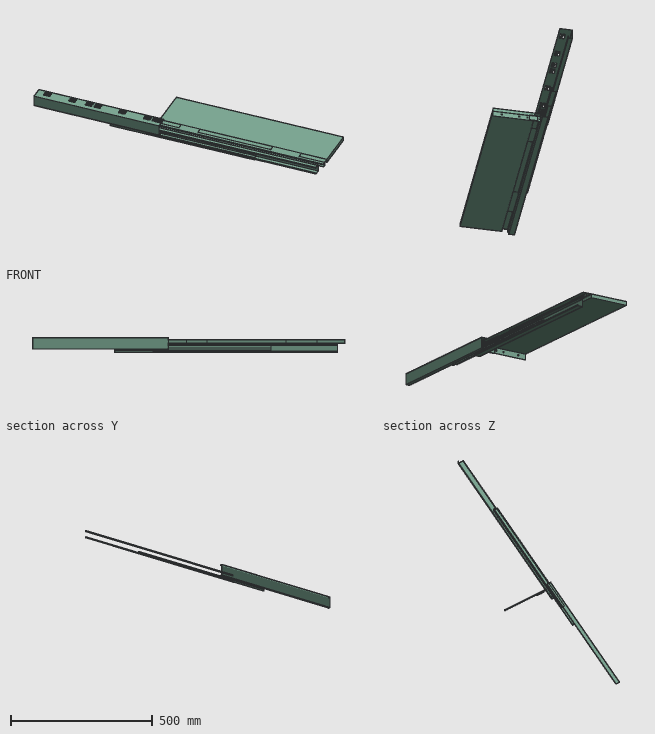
import cadquery as cq

LENGTH = 1105.0
WIDTH = 199.0
HEIGHT = 52.0
SHEET = 1.0

FIXED_LENGTH = 480.0
FIXED_FLANGE = 45.0
FIXED_BOTTOM = 11.0
HOOK_DEPTH = 15.0
HOOK_HEIGHT = 11.0
SLOT_LENGTH = 24.0
LAST_SLOT_LENGTH = 34.0
SLOT_STARTS = (28.0, 124.0, 188.0, 221.0, 315.0, 411.0)
LAST_SLOT_START = 443.0
SLIT_WIDTH = 4.0
SLIT_Y = 35.0
HOLE_DIAMETER = 8.0
HOLE_Y = 24.0
HOLE_GAP = 1.0

PANEL_START = 463.0
PANEL_BOTTOM = 31.0
PANEL_TOP = 45.0
PANEL_EDGE_Y = 49.0
SKIN_EDGE_Y = 14.0

PROFILE_WEB_Y = 28.0
PROFILE_FOOT_Y = 18.0
PROFILE_WINDOWS = ((545.0, 617.0), (897.0, 1006.0))

DRAWER_RAIL_START = 425.0
DRAWER_RAIL_END = 1079.0
DRAWER_RAIL_TOP = 29.0
DRAWER_RAIL_FRONT = 8.0
DRAWER_RAIL_LIP = 4.0

MIDDLE_START = 290.0
MIDDLE_END = 844.0
MIDDLE_TOP = 24.0
MIDDLE_WEB_Y = 21.0
MIDDLE_FRONT = 4.0
MIDDLE_LIP_TOP = 8.0
MIDDLE_TOP_FLANGE = 4.0

RUNNER_START = 373.0
RUNNER_INSET = 2.0
RUNNER_BACK = 19.0
RUNNER_TOP = 15.0

PLATE_BOTTOM = 9.0
PLATE_HOLES_Y = (75.0, 105.0, 168.0)
PLATE_HOLE_Z = 21.0
PLATE_HOLE_DIAMETER = 4.0
BRACKET_THICKNESS = 3.0
BRACKET_OUTER_Y = 68.0
BRACKET_INNER_Y = 40.0
BRACKET_TAB_BOTTOM = 19.0


def block(x, y, z):
    """Box given by its (low, high) limits along each axis."""
    size = [high - low for low, high in (x, y, z)]
    return cq.Workplane("XY").box(*size, centered=False).translate((x[0], y[0], z[0]))


def extrude_section(points, start, end):
    """Closed Y-Z outline extruded along X."""
    section = cq.Workplane("YZ").workplane(offset=start)
    return section.polyline(points).close().extrude(end - start)


def make_fixed_rail():
    flange_under = HEIGHT - SHEET
    hook_top = FIXED_BOTTOM + HOOK_HEIGHT
    hook_inside = HOOK_DEPTH - SHEET
    hook_floor = FIXED_BOTTOM + SHEET
    rail = extrude_section(
        [
            (0, FIXED_BOTTOM),
            (HOOK_DEPTH, FIXED_BOTTOM),
            (HOOK_DEPTH, hook_top),
            (hook_inside, hook_top),
            (hook_inside, hook_floor),
            (SHEET, hook_floor),
            (SHEET, flange_under),
            (FIXED_FLANGE, flange_under),
            (FIXED_FLANGE, HEIGHT),
            (0, HEIGHT),
        ],
        0,
        FIXED_LENGTH,
    )
    for start in SLOT_STARTS:
        rail = rail.cut(make_slot_group(start, SLOT_LENGTH, flange_under))
    return rail.cut(make_slot_group(LAST_SLOT_START, LAST_SLOT_LENGTH, flange_under))


def make_slot_group(start, length, bottom):
    """Cutter for a slit, with a round hole and an oblong hole beside it."""
    plane = cq.Workplane("XY").workplane(offset=bottom)
    slit_x = start + length / 2
    hole_x = start + HOLE_DIAMETER / 2
    oblong_length = length - HOLE_DIAMETER - HOLE_GAP
    oblong_x = start + length - oblong_length / 2
    slit = plane.center(slit_x, SLIT_Y).rect(length, SLIT_WIDTH).extrude(SHEET)
    hole = plane.center(hole_x, HOLE_Y).circle(HOLE_DIAMETER / 2).extrude(SHEET)
    oblong = plane.center(oblong_x, HOLE_Y).slot2D(oblong_length, HOLE_DIAMETER).extrude(SHEET)
    return slit.union(hole).union(oblong)


def make_panel():
    skin_under = PANEL_TOP - SHEET
    return extrude_section(
        [
            (WIDTH, PANEL_BOTTOM),
            (WIDTH, PANEL_TOP),
            (SKIN_EDGE_Y, PANEL_TOP),
            (SKIN_EDGE_Y, skin_under),
            (PANEL_EDGE_Y, skin_under),
            (PANEL_EDGE_Y, PANEL_BOTTOM),
        ],
        PANEL_START,
        LENGTH,
    )


def make_support_profile():
    """Z-shaped sheet whose lip and web are interrupted by windows."""
    top = PANEL_TOP - SHEET
    lip_under = top - SHEET
    foot_top = PANEL_BOTTOM + SHEET
    web_back = PROFILE_WEB_Y + SHEET
    profile = extrude_section(
        [
            (PROFILE_WEB_Y, top),
            (PANEL_EDGE_Y, top),
            (PANEL_EDGE_Y, lip_under),
            (web_back, lip_under),
            (web_back, PANEL_BOTTOM),
            (PROFILE_FOOT_Y, PANEL_BOTTOM),
            (PROFILE_FOOT_Y, foot_top),
            (PROFILE_WEB_Y, foot_top),
        ],
        PANEL_START,
        LENGTH,
    )
    for window in PROFILE_WINDOWS:
        profile = profile.cut(block(window, (PROFILE_WEB_Y, PANEL_EDGE_Y), (foot_top, top)))
    return profile


def make_drawer_rail():
    web_back = PROFILE_WEB_Y + SHEET
    lip_back = DRAWER_RAIL_FRONT + SHEET
    upper_lip_end = DRAWER_RAIL_TOP - DRAWER_RAIL_LIP
    flange_under = DRAWER_RAIL_TOP - SHEET
    return extrude_section(
        [
            (DRAWER_RAIL_FRONT, 0),
            (web_back, 0),
            (web_back, DRAWER_RAIL_TOP),
            (DRAWER_RAIL_FRONT, DRAWER_RAIL_TOP),
            (DRAWER_RAIL_FRONT, upper_lip_end),
            (lip_back, upper_lip_end),
            (lip_back, flange_under),
            (PROFILE_WEB_Y, flange_under),
            (PROFILE_WEB_Y, SHEET),
            (lip_back, SHEET),
            (lip_back, DRAWER_RAIL_LIP),
            (DRAWER_RAIL_FRONT, DRAWER_RAIL_LIP),
        ],
        DRAWER_RAIL_START,
        DRAWER_RAIL_END,
    )


def make_middle_rail():
    """Upright web with a short top flange, a floor and a turned-down front lip."""
    web_back = MIDDLE_WEB_Y + SHEET
    flange_front = MIDDLE_WEB_Y - MIDDLE_TOP_FLANGE
    lip_back = MIDDLE_FRONT + SHEET
    floor_under = MIDDLE_LIP_TOP - SHEET
    return extrude_section(
        [
            (MIDDLE_FRONT, 0),
            (lip_back, 0),
            (lip_back, floor_under),
            (web_back, floor_under),
            (web_back, MIDDLE_TOP),
            (flange_front, MIDDLE_TOP),
            (flange_front, MIDDLE_TOP - SHEET),
            (MIDDLE_WEB_Y, MIDDLE_TOP - SHEET),
            (MIDDLE_WEB_Y, MIDDLE_LIP_TOP),
            (MIDDLE_FRONT, MIDDLE_LIP_TOP),
        ],
        MIDDLE_START,
        MIDDLE_END,
    )


def make_runner():
    """Angle strip lying on the middle rail's floor, behind the fixed rail's hook."""
    front = MIDDLE_FRONT + RUNNER_INSET
    floor_top = MIDDLE_LIP_TOP + SHEET
    upright_front = RUNNER_BACK - SHEET
    return extrude_section(
        [
            (front, MIDDLE_LIP_TOP),
            (RUNNER_BACK, MIDDLE_LIP_TOP),
            (RUNNER_BACK, RUNNER_TOP),
            (upright_front, RUNNER_TOP),
            (upright_front, floor_top),
            (front, floor_top),
        ],
        RUNNER_START,
        MIDDLE_END,
    )


def make_end_plate():
    plate = block(
        (PANEL_START, PANEL_START + SHEET),
        (PROFILE_WEB_Y + SHEET, WIDTH),
        (PLATE_BOTTOM, PANEL_BOTTOM),
    )
    holes = (
        cq.Workplane("YZ")
        .workplane(offset=PANEL_START)
        .pushPoints([(y, PLATE_HOLE_Z) for y in PLATE_HOLES_Y])
        .circle(PLATE_HOLE_DIAMETER / 2)
        .extrude(SHEET)
    )
    return plate.cut(holes)


def make_bracket():
    """Upright foot with a thinner tab beside its upper part."""
    foot = block(
        (PANEL_START - BRACKET_THICKNESS, PANEL_START),
        (BRACKET_INNER_Y, BRACKET_OUTER_Y),
        (PLATE_BOTTOM, PANEL_BOTTOM),
    )
    tab = block(
        (PANEL_START - SHEET, PANEL_START),
        (PROFILE_WEB_Y + SHEET, BRACKET_INNER_Y),
        (BRACKET_TAB_BOTTOM, PANEL_BOTTOM),
    )
    return foot.union(tab)


bodies = [
    make_fixed_rail(),
    make_panel(),
    make_support_profile(),
    make_drawer_rail(),
    make_middle_rail(),
    make_runner(),
    make_end_plate(),
    make_bracket(),
]
result = cq.Compound.makeCompound([body.val() for body in bodies])